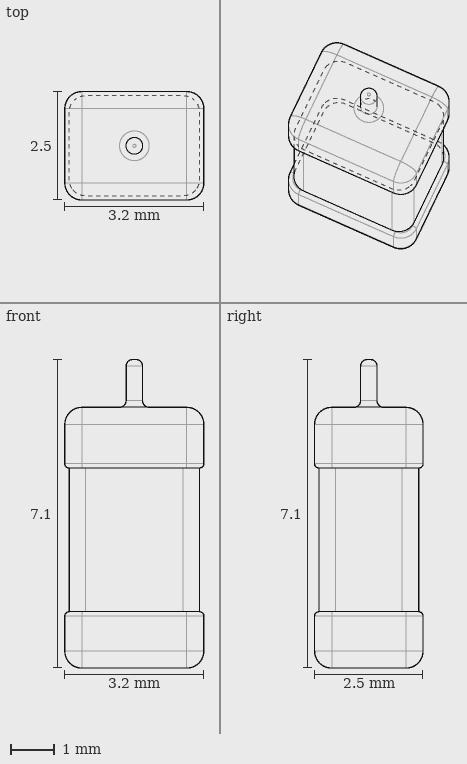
import cadquery as cq

total_height = 7.1
pin_height = 1.1
body_height = total_height - pin_height

cap_length = 3.2
cap_width = 2.5
top_cap_height = 1.4
bottom_cap_height = 1.3
cap_radius = 0.4

core_inset = 0.1
core_radius = 0.38
lip_radius = core_inset

pin_radius = 0.19
root_flare = 0.15
tip_round = 0.155


def rounded_block(length, width, corner_radius, bottom, height):
    """Upright block with rounded vertical corners, centred on the Z axis."""
    return (
        cq.Workplane("XY", origin=(0, 0, bottom))
        .rect(length, width)
        .extrude(height)
        .edges("|Z")
        .fillet(corner_radius)
    )


def end_cap(bottom, height, outer_end, inner_end):
    """Cap with a large round on its outer end and a small one on its inner rim."""
    cap = rounded_block(cap_length, cap_width, cap_radius, bottom, height)
    cap = cap.faces(outer_end).edges().fillet(cap_radius)
    return cap.faces(inner_end).edges().fillet(lip_radius)


def contact_pin():
    """Revolved pin with a concave flare at its root and a rounded tip."""
    flare_radius = pin_radius + root_flare
    tip_flat_radius = pin_radius - tip_round
    root = body_height
    embedded = root - cap_radius
    return (
        cq.Workplane("XZ")
        .moveTo(0, embedded)
        .lineTo(flare_radius, embedded)
        .lineTo(flare_radius, root)
        .radiusArc((pin_radius, root + root_flare), root_flare)
        .lineTo(pin_radius, total_height - tip_round)
        .radiusArc((tip_flat_radius, total_height), -tip_round)
        .lineTo(0, total_height)
        .close()
        .revolve(360, (0, 0, 0), (0, 1, 0))
    )


bottom_cap = end_cap(0, bottom_cap_height, "<Z", ">Z")
top_cap = end_cap(body_height - top_cap_height, top_cap_height, ">Z", "<Z")

core_bottom = bottom_cap_height / 2
core_top = body_height - top_cap_height / 2
core = rounded_block(
    cap_length - 2 * core_inset,
    cap_width - 2 * core_inset,
    core_radius,
    core_bottom,
    core_top - core_bottom,
)

result = core.union(bottom_cap).union(top_cap).union(contact_pin())